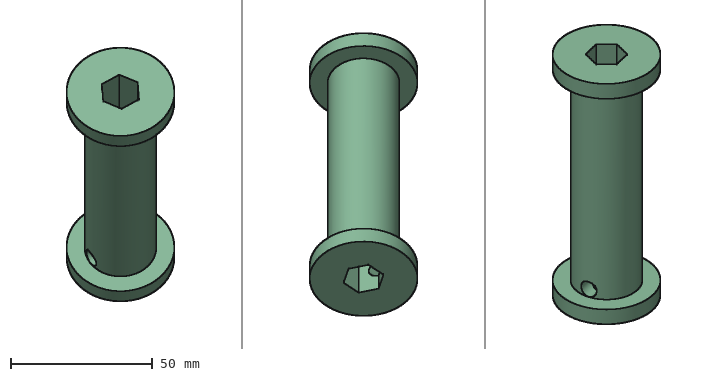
import cadquery as cq
import math

total_height = 101.6
flange_diameter = 38.1
flange_thickness = 6.3
barrel_diameter = 25.4

hex_across_flats = 12.7
hex_across_corners = hex_across_flats / math.cos(math.pi / 6)

cross_hole_diameter = 6.3
cross_hole_gap = 0.1
cross_hole_height = flange_thickness + cross_hole_gap + cross_hole_diameter / 2


def flange(bottom):
    """Round end flange whose lower face is at the given height."""
    return (
        cq.Workplane("XY")
        .workplane(offset=bottom)
        .circle(flange_diameter / 2)
        .extrude(flange_thickness)
    )


body = cq.Workplane("XY").circle(barrel_diameter / 2).extrude(total_height)
for flange_bottom in (0, total_height - flange_thickness):
    body = body.union(flange(flange_bottom))

hex_bore = (
    cq.Workplane("XY")
    .transformed(rotate=(0, 0, 90))
    .polygon(6, hex_across_corners)
    .extrude(total_height)
)

cross_hole = (
    cq.Workplane("XZ")
    .center(0, cross_hole_height)
    .circle(cross_hole_diameter / 2)
    .extrude(barrel_diameter / 2, both=True)
)

result = body.cut(hex_bore).cut(cross_hole)